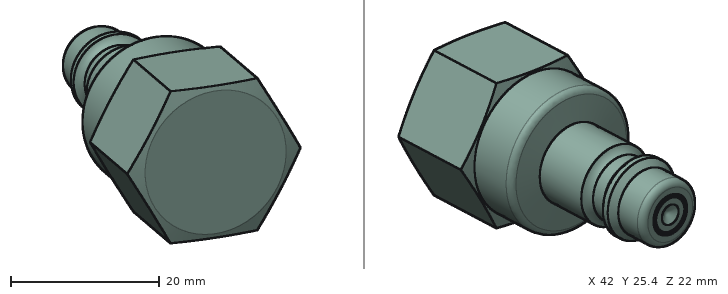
import cadquery as cq
import math

length = 42.0
collar_front = 4.95
collar_width = 1.0
neck_end = 11.42
shoulder_x = 20.0
shoulder_rim_x = 20.55
hex_start = 27.97
hex_end = length

tip_radius = 10.0 / 2
collar_radius = 12.0 / 2
groove_radius = 9.75 / 2
body_radius = 21.5 / 2
edge_round = 1.0
tip_bevel = collar_radius - tip_radius
groove_shoulder = collar_radius - groove_radius
groove_hollow = 0.15

across_flats = 22.0
corner_radius = across_flats / math.sqrt(3)
hex_chamfer_length = 0.55
hex_face_radius = body_radius
end_face_radius = 10.35
end_chamfer_length = 0.6

valve_radius = 5.45 / 2
valve_bore_radius = 5.6 / 2
valve_gap_depth = 1.0
valve_chamfer = 0.2
dimple_radius = 3.0 / 2
dimple_tip_angle = 118


def revolve_about_x(points):
    """Turn a closed (x, radius) outline around the X axis."""
    outline = cq.Workplane("XY").polyline(points).close()
    return outline.revolve(360, (0, 0, 0), (1, 0, 0))


def make_plug():
    """Plug with a bevelled collar and a groove with slightly hollow sloping shoulders."""
    collar_start = collar_front + tip_bevel
    collar_end = collar_start + collar_width
    groove_start = collar_end + groove_shoulder
    groove_end = neck_end - groove_shoulder
    arc_offset = groove_shoulder / 2 - groove_hollow * math.sqrt(0.5)
    arc_middle_radius = groove_radius + arc_offset
    outline = (
        cq.Workplane("XY")
        .lineTo(0, tip_radius)
        .lineTo(collar_front, tip_radius)
        .lineTo(collar_start, collar_radius)
        .lineTo(collar_end, collar_radius)
        .threePointArc((collar_end + arc_offset, arc_middle_radius), (groove_start, groove_radius))
        .lineTo(groove_end, groove_radius)
        .threePointArc((neck_end - arc_offset, arc_middle_radius), (neck_end, collar_radius))
        .lineTo(hex_start, collar_radius)
        .lineTo(hex_start, 0)
        .close()
    )
    plug = outline.revolve(360, (0, 0, 0), (1, 0, 0))
    return plug.faces("<X").edges().fillet(edge_round)


def make_body():
    """Round body with a slightly conical front face and a rounded rim."""
    body = revolve_about_x([
        (shoulder_x, 0),
        (shoulder_x, collar_radius),
        (shoulder_rim_x, body_radius),
        (hex_start, body_radius),
        (hex_start, 0),
    ])
    rim = cq.selectors.BoxSelector(
        (shoulder_rim_x - 0.05, -length, -length),
        (shoulder_rim_x + 0.05, length, length),
    )
    return body.edges(rim).fillet(edge_round)


def make_hex():
    """Hexagon with flats facing +Z and -Z, its corners turned off at both ends."""
    prism = (
        cq.Workplane("YZ", origin=(hex_start, 0, 0))
        .polygon(6, 2 * corner_radius)
        .extrude(hex_end - hex_start)
    )
    turned_envelope = revolve_about_x([
        (hex_start, 0),
        (hex_start, hex_face_radius),
        (hex_start + hex_chamfer_length, corner_radius),
        (hex_end - end_chamfer_length, corner_radius),
        (hex_end, end_face_radius),
        (hex_end, 0),
    ])
    return prism.intersect(turned_envelope)


def make_valve_gap():
    """Thin ring gap around the valve insert, chamfered on both sides of its mouth."""
    return revolve_about_x([
        (0, valve_radius - valve_chamfer),
        (valve_chamfer, valve_radius),
        (valve_gap_depth, valve_radius),
        (valve_gap_depth, valve_bore_radius),
        (valve_chamfer, valve_bore_radius),
        (0, valve_bore_radius + valve_chamfer),
    ])


def make_dimple():
    """Conical drill-point dimple in the insert face."""
    point_depth = dimple_radius / math.tan(math.radians(dimple_tip_angle / 2))
    return revolve_about_x([
        (0, 0),
        (0, dimple_radius),
        (point_depth, 0),
    ])


result = make_plug().union(make_body()).union(make_hex())
result = result.cut(make_valve_gap()).cut(make_dimple())